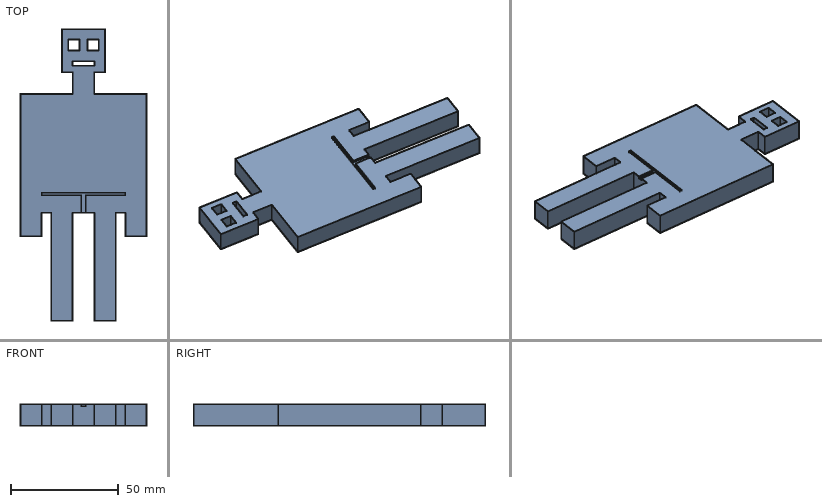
import cadquery as cq

thickness = 10.0
total_length = 135.3

head_size = 2 * thickness
neck_width = thickness
neck_length = thickness
torso_width = 58.6
shoulder_y = -(head_size + neck_length)
hip_y = -85.3
arm_width = 9.9
arm_end_y = -96.1
leg_width = thickness
leg_gap = thickness

eye_size = thickness / 2
eye_spacing = 8.9
eye_top_y = -4.9
mouth_width = thickness
mouth_height = 2.0
mouth_top_y = -14.9

groove_depth = 1.0
waist_groove_length = torso_width - 2 * arm_width
waist_groove_width = 1.2
waist_groove_top_y = -75.9
center_groove_width = 2.0


def block(center_x, width, top_y, bottom_y, bottom_z=0):
    """Box between two Y levels, reaching from bottom_z to the front face."""
    return (
        cq.Workplane("XY", origin=(center_x, (top_y + bottom_y) / 2, bottom_z))
        .rect(width, top_y - bottom_y)
        .extrude(thickness - bottom_z)
    )


body = block(0, head_size, 0, -head_size)
body = body.union(block(0, neck_width, -head_size, shoulder_y))
body = body.union(block(0, torso_width, shoulder_y, hip_y))

arm_x = (torso_width - arm_width) / 2
leg_x = (leg_gap + leg_width) / 2
for side in (-1, 1):
    body = body.union(block(side * arm_x, arm_width, shoulder_y, arm_end_y))
    body = body.union(block(side * leg_x, leg_width, hip_y, -total_length))
    body = body.cut(block(side * eye_spacing / 2, eye_size, eye_top_y, eye_top_y - eye_size))

body = body.cut(block(0, mouth_width, mouth_top_y, mouth_top_y - mouth_height))

groove_floor_z = thickness - groove_depth
waist_groove_bottom_y = waist_groove_top_y - waist_groove_width
body = body.cut(
    block(0, waist_groove_length, waist_groove_top_y, waist_groove_bottom_y, groove_floor_z)
)
body = body.cut(block(0, center_groove_width, waist_groove_top_y, hip_y, groove_floor_z))

result = body.clean()